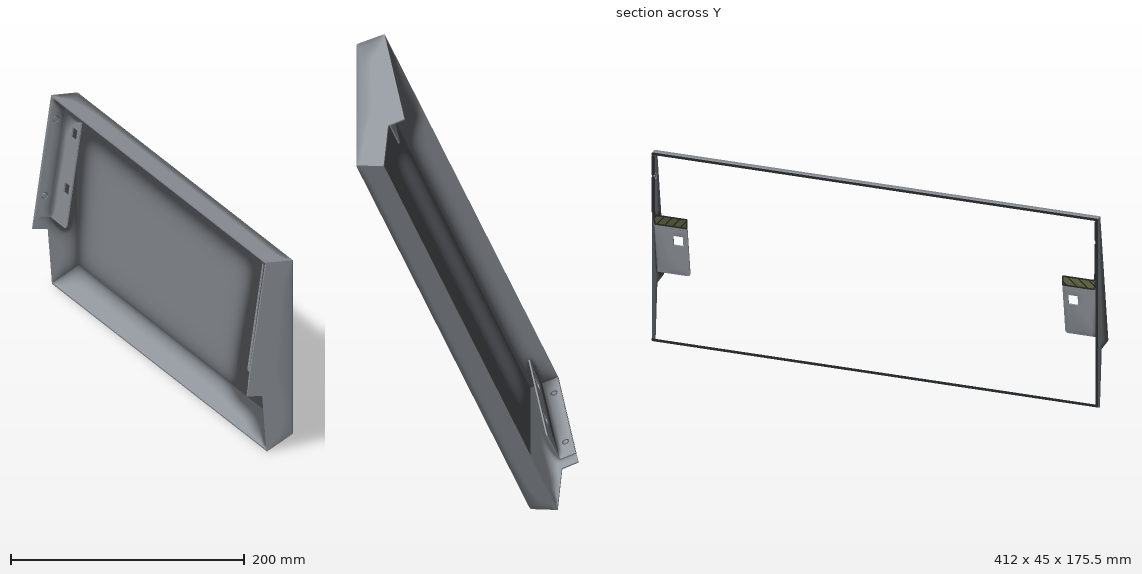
import cadquery as cq
import math

WIDTH = 412.0
DEPTH = 45.0
HEIGHT = 175.5

SHEET = 1.28
INNER_BEND = 1.05
OUTER_BEND = INNER_BEND + SHEET
SIDE_INNER_X = WIDTH / 2 - SHEET
SIDES = (-1, 1)

BACK_Y = DEPTH / 2
TOP_FRONT_Y = -4.0
TOP_FRONT_Z = HEIGHT / 2
TOP_BACK_Z = 85.3
BOTTOM_FRONT_Y = -3.5
BOTTOM_FRONT_Z = -HEIGHT / 2
BOTTOM_BACK_Z = -75.5
EAR_TIP_Y = -DEPTH / 2
EAR_TIP_Z = -33.0
EAR_ROOT_Y = -7.5
EAR_ROOT_Z = -35.5

FRONT_SLOPE = math.degrees(math.atan2(TOP_FRONT_Y - EAR_TIP_Y, TOP_FRONT_Z - EAR_TIP_Z))
BRACKET_GAP = 1.0
BRACKET_LENGTH = 108.8
FLANGE_WIDTH = 31.5
FLANGE_SETBACK = 14.5
LEG_DEPTH = FLANGE_SETBACK + SHEET
FLANGE_CORNER = 2.5

SQUARE_COUNT = 2
SQUARE_HOLE = 9.0
SQUARE_INSET = 22.2
SQUARE_DROP = 25.0
SQUARE_SPACING = 50.3

STUD_COUNT = 2
STUD_DIAMETER = 4.0
STUD_HOLE_DIAMETER = 6.5
STUD_INSET = 6.0
STUD_DROP = 19.0
STUD_SPACING = 70.0


def extrude_profile(points, half_width):
    """Extrude a YZ outline over the X range from -half_width to half_width."""
    return cq.Workplane("YZ").polyline(points).close().extrude(half_width, both=True)


def place_on_slope(body):
    """Move a body from the bracket frame to the tray.

    In the bracket frame the top front corner of the leg is at Y = Z = 0 and its front edge runs along -Z.
    """
    tilted = body.rotate((0, 0, 0), (1, 0, 0), -FRONT_SLOPE)
    return tilted.translate((0, TOP_FRONT_Y, TOP_FRONT_Z - SHEET - BRACKET_GAP))


def leg_cylinders(diameter, side):
    """Cylinders through the thickness of one bracket leg, at the stud places."""
    centres = [(STUD_INSET, -STUD_DROP - i * STUD_SPACING) for i in range(STUD_COUNT)]
    side_face = cq.Workplane("YZ").workplane(offset=side * SIDE_INNER_X)
    cylinders = side_face.pushPoints(centres).circle(diameter / 2).extrude(-side * SHEET)
    return place_on_slope(cylinders)


def build_tray_block():
    """The solid outer shape of the tray, with rounded bends around the back."""
    outline = [
        (BACK_Y, TOP_BACK_Z),
        (TOP_FRONT_Y, TOP_FRONT_Z),
        (EAR_TIP_Y, EAR_TIP_Z),
        (EAR_ROOT_Y, EAR_ROOT_Z),
        (BOTTOM_FRONT_Y, BOTTOM_FRONT_Z),
        (BACK_Y, BOTTOM_BACK_Z),
    ]
    return extrude_profile(outline, WIDTH / 2).faces(">Y").edges().fillet(OUTER_BEND)


def build_tray_cavity():
    """The inside of the tray: one sheet in from every wall and open past the ears at the front."""
    top_slope = (TOP_FRONT_Z - TOP_BACK_Z) / (BACK_Y - TOP_FRONT_Y)
    bottom_slope = (BOTTOM_BACK_Z - BOTTOM_FRONT_Z) / (BACK_Y - BOTTOM_FRONT_Y)
    top_at_back = TOP_BACK_Z - SHEET * math.hypot(1, top_slope)
    bottom_at_back = BOTTOM_BACK_Z + SHEET * math.hypot(1, bottom_slope)
    reach = DEPTH + SHEET
    outline = [
        (BACK_Y - SHEET, top_at_back + top_slope * SHEET),
        (BACK_Y - reach, top_at_back + top_slope * reach),
        (BACK_Y - reach, bottom_at_back - bottom_slope * reach),
        (BACK_Y - SHEET, bottom_at_back - bottom_slope * SHEET),
    ]
    return extrude_profile(outline, SIDE_INNER_X).faces(">Y").edges().fillet(INNER_BEND)


def build_tray():
    tray = build_tray_block().cut(build_tray_cavity())
    for side in SIDES:
        tray = tray.union(leg_cylinders(STUD_DIAMETER, side))
    return tray


def build_bracket_angle():
    """A bent angle in the bracket frame: leg at X = 0 running back, flange running along +X."""
    section = [
        (0, 0),
        (SHEET, 0),
        (SHEET, FLANGE_SETBACK),
        (FLANGE_WIDTH, FLANGE_SETBACK),
        (FLANGE_WIDTH, LEG_DEPTH),
        (0, LEG_DEPTH),
    ]
    mid_z = -BRACKET_LENGTH / 2
    outer_bend_edge = cq.NearestToPointSelector((0, LEG_DEPTH, mid_z))
    inner_bend_edge = cq.NearestToPointSelector((SHEET, FLANGE_SETBACK, mid_z))
    angle = cq.Workplane("XY").polyline(section).close().extrude(-BRACKET_LENGTH)
    angle = angle.edges("|Y and >X").fillet(FLANGE_CORNER)
    angle = angle.edges(outer_bend_edge).fillet(OUTER_BEND)
    return angle.edges(inner_bend_edge).fillet(INNER_BEND)


def cut_square_holes(angle):
    flange_middle_y = FLANGE_SETBACK + SHEET / 2
    for i in range(SQUARE_COUNT):
        cutter = cq.Workplane("XY").box(SQUARE_HOLE, 2 * SHEET, SQUARE_HOLE)
        centre = (SQUARE_INSET, flange_middle_y, -SQUARE_DROP - i * SQUARE_SPACING)
        angle = angle.cut(cutter.translate(centre))
    return angle


def build_bracket(side):
    """One bracket inside a tray side: built at the -X side and mirrored for the +X side."""
    angle = cut_square_holes(build_bracket_angle())
    bracket = place_on_slope(angle.translate((-SIDE_INNER_X, 0, 0)))
    bracket = bracket.cut(leg_cylinders(STUD_HOLE_DIAMETER, -1))
    return bracket if side < 0 else bracket.mirror("YZ")


tray = build_tray()
brackets = [build_bracket(side) for side in SIDES]
result = cq.Compound.makeCompound([tray.val(), *[bracket.val() for bracket in brackets]])